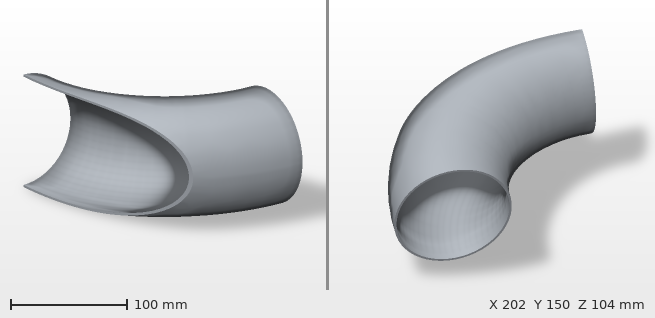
import cadquery as cq

pipe_diameter = 104.0
wall = 2.0
outer_reach = 202.0
outer_radius = pipe_diameter / 2
inner_radius = outer_radius - wall
bend_radius = outer_reach - outer_radius


def full_ring():
    """Hollow pipe bent into a complete ring about the Z axis."""
    section = cq.Workplane("XZ").center(bend_radius, 0).circle(outer_radius).circle(inner_radius)
    return section.revolve(360, (-bend_radius, 0, 0), (-bend_radius, 1, 0))


def kept_space():
    """Space between both end planes and the saddle trim.

    The trim is where the bend meets an equal straight pipe lying along X at
    Y = -bend_radius. Seen along Z that meeting line is the parabola
    y = x^2 / (4 * bend_radius) - bend_radius, which a three-point Bezier gives exactly.
    """
    trim_start = (0, -bend_radius)
    trim_control = (bend_radius, -bend_radius)
    trim_end = (2 * bend_radius, 0)
    return (
        cq.Workplane("XY")
        .moveTo(0, 0)
        .lineTo(*trim_start)
        .bezier([trim_start, trim_control, trim_end])
        .close()
        .extrude(pipe_diameter, both=True)
    )


result = full_ring().intersect(kept_space())